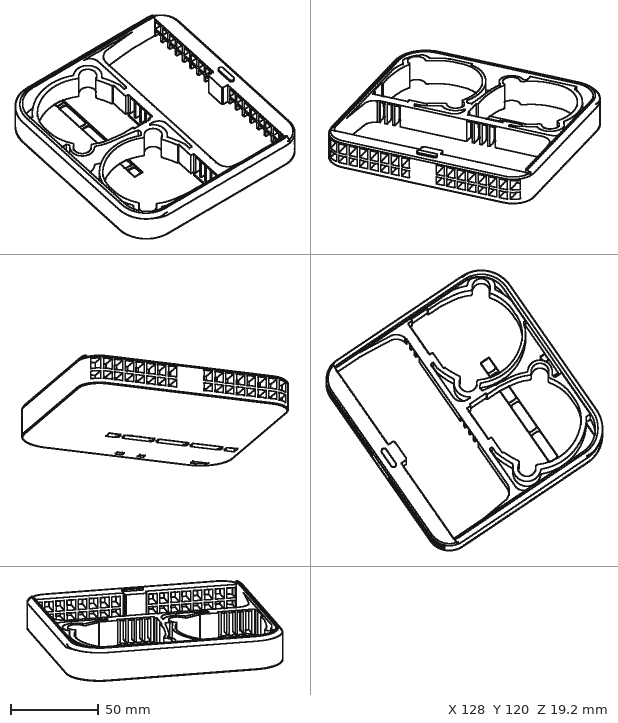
import cadquery as cq
import math

WIDTH = 128.0
DEPTH = 120.0
HEIGHT = 19.2
HALF_WIDTH = WIDTH / 2
BACK = DEPTH / 2
FRONT = -BACK
BACK_RADIUS = 13.3
FRONT_RADIUS = 20.0
BOTTOM_CHAMFER = 0.5

SHELF_Z = 17.2
SHELF_CHAMFER = 1.0
SHELF_FRONT = 49.9
RIM_HEIGHT = HEIGHT - SHELF_Z
SIDE_SLOPE_Z = SHELF_Z - SHELF_CHAMFER
SIDE_SLOPE_ANGLE = 27.0
SIDE_SLOPE_REACH = 1.3
TOP_SLOPE_ANGLE = 45.0
TOP_SLOPE_INSET = 0.3
CROWN_HEIGHT = 0.6
CROWN_ANGLE = 60.0

RECESS_HALF_WIDTH = 60.2
RECESS_FRONT = -55.7
RECESS_RADIUS = 16.0

BAY_FLOOR = 3.1
BAY_FRONT = 6.7
BAY_STRAIGHT_END = 33.3
BAY_BEND = (59.3, 23.7)
BAY_CORNER_SIDE = (58.0, 12.0)
BAY_CORNER_MIDDLE = (55.2, 8.2)
BAY_FRONT_HALF_WIDTH = 51.1

BOSS_HALF_WIDTH = 6.5
BOSS_FRONT = 46.0
BOSS_CHAMFER = 0.6
BUTTON_LENGTH = 12.5
BUTTON_WIDTH = 3.1
BUTTON_Y = 54.1
BUTTON_HEIGHT = 1.0

GRILLE_CELLS_PER_SIDE = 8
GRILLE_START = 8.5
GRILLE_LAST_START = 54.7
GRILLE_PITCH = (GRILLE_LAST_START - GRILLE_START) / (GRILLE_CELLS_PER_SIDE - 1)
GRILLE_CELL_WIDTH = 5.0
GRILLE_ROWS = ((BAY_FLOOR, 7.5), (9.2, 15.2))

POCKET_FLOOR = 2.0
POCKET_HEIGHTS = (POCKET_FLOOR, SHELF_Z)
POCKET_DEPTH = SHELF_Z - POCKET_FLOOR
POCKET_PITCH = 59.8
LEFT_POCKET = (-28.4, -26.9)
RIGHT_POCKET = (LEFT_POCKET[0] + POCKET_PITCH, LEFT_POCKET[1])
BLOWER_RADIUS = 26.2
LOBE_DIAMETER = 10.2
LOBE_OFFSET = (20.9, 18.8)
LOBE_TIP_FILLET = 1.3
LOBE_TIP_REACH = 5.9
LOBE_TIP_FRACTION = 0.85
BODY_UPPER_LEFT = (-21.8, 14.6)
BODY_LOWER_LEFT = (-16.6, -21.6)
BODY_BULGE = (-10.2, -25.2)
BODY_BOTTOM_X = -2.5
BODY_LOWER_RIGHT = (18.4, -18.4)
BODY_RIGHT = (26.0, -3.2)
BODY_TOP_ARC = (-10.5, 22.9)
BODY_TOP_LEFT = (-17.3, 19.2)
BODY_TOP_START_X = -3.3
SHOULDER_LEFT = -5.9
SHOULDER_TOP = 25.6
OUTLET_LEFT = 5.2
OUTLET_RIGHT = 27.1
OUTLET_TOP = 27.6
OUTLET_BOTTOM = 5.1
SIDE_NOTCH_RIGHT = 28.2
SIDE_NOTCH_TOP = 24.8
SIDE_NOTCH_BOTTOM = 13.6
SILL_LEFT = 7.2
SILL_RIGHT = 24.8
SILL_WIDTH = 1.5
VENT_CELLS = 4
VENT_PITCH = 4.9
VENT_CELL_WIDTH = 3.5
VENT_TOP = 16.1

THICK_WALL = 3.0
THIN_WALL = 1.9
HOLLOW_TOP = 3.6
HOLLOW_CORNER = 5.8
HOLLOW_END_X = 0.3
RIGHT_HOLLOW_LEFT = 2.7
RIGHT_HOLLOW_FRONT = -4.4
HOLLOW_END_FILLET = 0.8
LEFT_BLOCK = (-44.0, -14.8)
RIGHT_BLOCK = (21.8, 36.4)
GAP_BACK = -12.2
GAP_BACK_X = (2.2, 5.6)
GAP_SIDE_END = (0.5, -22.1)
GAP_FRONT_LOBE_Y = -40.0

GROOVE_RIGHT = 18.4
GROOVE_BACK = -22.1
GROOVE_FRONT = -28.0
GROOVE_FLOOR = 0.8
SLOT_PITCH = 20.9
FIRST_BRIDGE_X = -52.6
BRIDGE_WIDTH = 1.9
SLOT_FILLET = 1.8
SLOT_COUNT = 5

FRONT_HOLE_BACK = -52.4
FRONT_HOLES = ((-RECESS_HALF_WIDTH, LEFT_BLOCK[0]), (LEFT_BLOCK[1], -11.4), (-2.0, 2.2))


def block(x_range, y_range, z_range):
    """Box given by its limits along each axis."""
    size = [max(limits) - min(limits) for limits in (x_range, y_range, z_range)]
    corner = [min(limits) for limits in (x_range, y_range, z_range)]
    return cq.Workplane("XY").box(*size, centered=False).translate(tuple(corner))


def rounded_outline(z, half_width, front, back, front_radius, back_radius):
    """Rectangle at height z with one radius at its front corners and another at its back corners."""
    diagonal = 1 - math.sqrt(0.5)
    front_cut = front_radius * diagonal
    back_cut = back_radius * diagonal
    return (
        cq.Workplane("XY", origin=(0, 0, z))
        .moveTo(-half_width + front_radius, front)
        .lineTo(half_width - front_radius, front)
        .threePointArc((half_width - front_cut, front + front_cut), (half_width, front + front_radius))
        .lineTo(half_width, back - back_radius)
        .threePointArc((half_width - back_cut, back - back_cut), (half_width - back_radius, back))
        .lineTo(-half_width + back_radius, back)
        .threePointArc((-half_width + back_cut, back - back_cut), (-half_width, back - back_radius))
        .lineTo(-half_width, front + front_radius)
        .threePointArc((-half_width + front_cut, front + front_cut), (-half_width + front_radius, front))
        .close()
    )


def case_outline(z, half_width=HALF_WIDTH, front=FRONT):
    return rounded_outline(z, half_width, front, BACK, FRONT_RADIUS, BACK_RADIUS)


def case_body():
    """Outer block: chamfered shelf height everywhere, with the sloped rim on the sides and front."""
    body = case_outline(0).extrude(SHELF_Z)
    body = body.faces("<Z").chamfer(BOTTOM_CHAMFER)
    body = body.faces(">Z").chamfer(SHELF_CHAMFER)

    side_slope = case_outline(SIDE_SLOPE_Z, front=FRONT - SIDE_SLOPE_REACH)
    side_slope = side_slope.extrude(HEIGHT - SIDE_SLOPE_Z, taper=SIDE_SLOPE_ANGLE)
    lower_rim = case_outline(SIDE_SLOPE_Z).extrude(SHELF_Z - SIDE_SLOPE_Z)
    upper_rim = case_outline(SHELF_Z, half_width=HALF_WIDTH - TOP_SLOPE_INSET)
    upper_rim = upper_rim.extrude(RIM_HEIGHT - CROWN_HEIGHT, taper=TOP_SLOPE_ANGLE)
    crown = upper_rim.faces(">Z").wires().toPending().workplane()
    upper_rim = crown.extrude(CROWN_HEIGHT, taper=CROWN_ANGLE)
    rim_zone = block((-HALF_WIDTH, HALF_WIDTH), (FRONT, SHELF_FRONT), (0, HEIGHT))
    rim = lower_rim.union(upper_rim).intersect(side_slope).intersect(rim_zone)
    return body.union(rim)


def recess(bottom, top):
    """Area inside the rim, open towards the back, between two heights."""
    outline = rounded_outline(bottom, RECESS_HALF_WIDTH, RECESS_FRONT, BACK, RECESS_RADIUS, BACK_RADIUS)
    area = block((-HALF_WIDTH, HALF_WIDTH), (FRONT, SHELF_FRONT), (bottom, top))
    return outline.extrude(top - bottom).intersect(area)


def mirrored(point):
    return (-point[0], point[1])


def rear_bay():
    """Large compartment, narrowing slightly towards its rounded front corners."""
    return (
        cq.Workplane("XY", origin=(0, 0, BAY_FLOOR))
        .moveTo(-RECESS_HALF_WIDTH, SHELF_FRONT)
        .lineTo(-RECESS_HALF_WIDTH, BAY_STRAIGHT_END)
        .threePointArc(mirrored(BAY_BEND), mirrored(BAY_CORNER_SIDE))
        .threePointArc(mirrored(BAY_CORNER_MIDDLE), (-BAY_FRONT_HALF_WIDTH, BAY_FRONT))
        .lineTo(BAY_FRONT_HALF_WIDTH, BAY_FRONT)
        .threePointArc(BAY_CORNER_MIDDLE, BAY_CORNER_SIDE)
        .threePointArc(BAY_BEND, (RECESS_HALF_WIDTH, BAY_STRAIGHT_END))
        .lineTo(RECESS_HALF_WIDTH, SHELF_FRONT)
        .close()
        .extrude(HEIGHT - BAY_FLOOR)
    )


def latch_boss():
    boss = block((-BOSS_HALF_WIDTH, BOSS_HALF_WIDTH), (BOSS_FRONT, SHELF_FRONT), (BAY_FLOOR, SHELF_Z))
    return boss.faces("<Y").edges("|Z").chamfer(BOSS_CHAMFER)


def button():
    plane = cq.Workplane("XY", origin=(0, BUTTON_Y, SHELF_Z))
    return plane.slot2D(BUTTON_LENGTH, BUTTON_WIDTH).extrude(BUTTON_HEIGHT)


def back_grille():
    """Two rows of rectangular openings through the back wall on each side of the latch boss."""
    cells = cq.Workplane("XY")
    for index in range(GRILLE_CELLS_PER_SIDE):
        start = GRILLE_START + index * GRILLE_PITCH
        end = start + GRILLE_CELL_WIDTH
        for row in GRILLE_ROWS:
            cells = cells.add(block((start, end), (SHELF_FRONT, BACK), row))
            cells = cells.add(block((-end, -start), (SHELF_FRONT, BACK), row))
    return cells.combine()


def blower_shape(centre, grow=0.0):
    """Blower outline enlarged by grow on every side, from the pocket floor to the shelf height."""
    plane = cq.Workplane("XY", origin=(0, 0, POCKET_FLOOR))
    shape = (
        plane.moveTo(*BODY_UPPER_LEFT)
        .threePointArc((-BLOWER_RADIUS, 0), BODY_LOWER_LEFT)
        .threePointArc(BODY_BULGE, (BODY_BOTTOM_X, -BLOWER_RADIUS))
        .threePointArc(BODY_LOWER_RIGHT, BODY_RIGHT)
        .lineTo(OUTLET_RIGHT, OUTLET_BOTTOM)
        .lineTo(OUTLET_RIGHT, OUTLET_TOP)
        .lineTo(OUTLET_LEFT, OUTLET_TOP)
        .lineTo(OUTLET_LEFT, SHOULDER_TOP)
        .lineTo(BODY_TOP_START_X, SHOULDER_TOP)
        .threePointArc(BODY_TOP_ARC, BODY_TOP_LEFT)
        .close()
    )
    if grow:
        shape = shape.offset2D(grow, "intersection")
    shape = shape.extrude(POCKET_DEPTH)

    tip_reach = LOBE_TIP_REACH + grow
    for sign in (-1, 1):
        lobe_x = sign * LOBE_OFFSET[0]
        lobe_y = -sign * LOBE_OFFSET[1]
        lobe = plane.center(lobe_x, lobe_y).circle(LOBE_DIAMETER / 2 + grow).extrude(POCKET_DEPTH)
        shape = shape.union(lobe)
        tip_x = lobe_x * LOBE_TIP_FRACTION
        tip_y = lobe_y * LOBE_TIP_FRACTION
        tip_zone = cq.selectors.BoxSelector(
            (tip_x - tip_reach, tip_y - tip_reach, 0),
            (tip_x + tip_reach, tip_y + tip_reach, HEIGHT),
        )
        shape = shape.edges("|Z").edges(tip_zone).fillet(LOBE_TIP_FILLET)
    return shape.translate((centre[0], centre[1], 0))


def blower_pocket(centre):
    """Open pocket for one blower, with its side notch, its sill and the vents into the rear bay."""
    x, y = centre
    notch_y = (y + SIDE_NOTCH_BOTTOM, y + SIDE_NOTCH_TOP)
    notch = block((x, x + SIDE_NOTCH_RIGHT), notch_y, POCKET_HEIGHTS)
    outlet_wall = y + OUTLET_TOP
    sill_y = (outlet_wall - SILL_WIDTH, outlet_wall)
    sill = block((x + SILL_LEFT, x + SILL_RIGHT), sill_y, (POCKET_FLOOR, BAY_FLOOR))
    shoulder = block((x + SHOULDER_LEFT, x + OUTLET_LEFT), (y, y + SHOULDER_TOP), POCKET_HEIGHTS)
    pocket = blower_shape(centre).union(shoulder).union(notch).cut(sill)
    for index in range(VENT_CELLS):
        start = x + SILL_LEFT + index * VENT_PITCH
        vent = block((start, start + VENT_CELL_WIDTH), (outlet_wall, BAY_FRONT), (BAY_FLOOR, VENT_TOP))
        pocket = pocket.union(vent)
    return pocket


def rear_hollow(x_start, y_start, centre):
    """Hollow beside the upper left lobe of a blower, rounded at its back left corner."""
    x_range = (x_start, centre[0] + HOLLOW_END_X)
    hollow = block(x_range, (y_start, HOLLOW_TOP), POCKET_HEIGHTS)
    hollow = hollow.edges("|Z and <X and >Y").fillet(HOLLOW_CORNER)
    hollow = hollow.edges("|Z and >X and >Y").fillet(HOLLOW_END_FILLET)
    return hollow.cut(blower_shape(centre, THICK_WALL))


def left_hollow():
    """Hollow along the left wall, down to the solid block at the front."""
    hollow = block((-RECESS_HALF_WIDTH, LEFT_BLOCK[0]), (RECESS_FRONT, LEFT_POCKET[1]), POCKET_HEIGHTS)
    return hollow.cut(blower_shape(LEFT_POCKET, THICK_WALL))


def middle_hollow():
    """Hollow between the two blowers, spreading along the front wall."""
    hollow = (
        cq.Workplane("XY", origin=(0, 0, POCKET_FLOOR))
        .moveTo(GAP_BACK_X[0], GAP_BACK)
        .lineTo(GAP_BACK_X[1], GAP_BACK)
        .lineTo(RIGHT_BLOCK[0], LEFT_POCKET[1])
        .lineTo(RIGHT_BLOCK[0], RECESS_FRONT)
        .lineTo(LEFT_BLOCK[1], RECESS_FRONT)
        .lineTo(LEFT_BLOCK[1], GAP_FRONT_LOBE_Y)
        .lineTo(*GAP_SIDE_END)
        .close()
        .extrude(POCKET_DEPTH)
    )
    return hollow.cut(blower_shape(LEFT_POCKET, THIN_WALL)).cut(blower_shape(RIGHT_POCKET, THIN_WALL))


def right_hollow():
    """Small hollows around the lower right lobe of the right blower."""
    hollow = block((RIGHT_BLOCK[1], RECESS_HALF_WIDTH), (RECESS_FRONT, RIGHT_POCKET[1]), POCKET_HEIGHTS)
    return hollow.cut(blower_shape(RIGHT_POCKET, THICK_WALL))


def cable_groove():
    """Groove in the floor with a row of through slots, separated by thin bridges."""
    x_range = (-RECESS_HALF_WIDTH, GROOVE_RIGHT)
    groove = block(x_range, (GROOVE_FRONT, GROOVE_BACK), (GROOVE_FLOOR, POCKET_FLOOR))
    limit = block(x_range, (GROOVE_FRONT, GROOVE_BACK), (0, POCKET_FLOOR))
    for index in range(SLOT_COUNT):
        end = FIRST_BRIDGE_X + index * SLOT_PITCH - BRIDGE_WIDTH / 2
        start = end - SLOT_PITCH + BRIDGE_WIDTH
        slot = block((start, end), (GROOVE_FRONT, GROOVE_BACK), (0, POCKET_FLOOR))
        groove = groove.union(slot.edges("|Z").fillet(SLOT_FILLET).intersect(limit))
    return groove


def front_holes():
    holes = cq.Workplane("XY")
    for x_range in FRONT_HOLES:
        holes = holes.add(block(x_range, (RECESS_FRONT, FRONT_HOLE_BACK), (0, POCKET_FLOOR)))
    return holes.combine().intersect(recess(0, POCKET_FLOOR))


case = case_body().cut(recess(SHELF_Z, HEIGHT)).cut(rear_bay())
case = case.union(latch_boss()).union(button()).cut(back_grille())

inside_rim = recess(POCKET_FLOOR, SHELF_Z)
hollows = (
    rear_hollow(-RECESS_HALF_WIDTH, LEFT_POCKET[1], LEFT_POCKET),
    rear_hollow(RIGHT_HOLLOW_LEFT, RIGHT_HOLLOW_FRONT, RIGHT_POCKET),
    left_hollow(),
    middle_hollow(),
    right_hollow(),
)
for hollow in hollows:
    case = case.cut(hollow.intersect(inside_rim))
for centre in (LEFT_POCKET, RIGHT_POCKET):
    case = case.cut(blower_pocket(centre))
result = case.cut(cable_groove()).cut(front_holes())